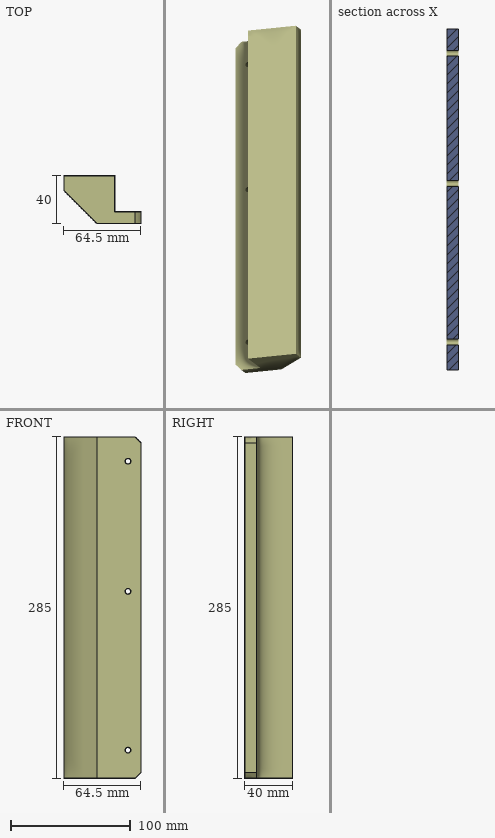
import cadquery as cq

width = 64.5
depth = 40.0
length = 285.0

block_width = 42.5
flange_thickness = 10.0
bevel = 27.5

corner_chamfer = 5.0
hole_diameter = 4.5
hole_edge_distance = 11.0
hole_distances_from_top = (20.3, 128.9, 261.5)


def make_bar():
    """Constant cross-section: a bevelled block with a flange along its front face."""
    outline = [
        (bevel, 0),
        (width, 0),
        (width, flange_thickness),
        (block_width, flange_thickness),
        (block_width, depth),
        (0, depth),
        (0, bevel),
    ]
    return cq.Workplane("XY").polyline(outline).close().extrude(length)


def chamfer_flange_corners(body):
    """Cut the top and bottom corners of the flange's free edge."""
    return body.faces(">X").edges("|Y").chamfer(corner_chamfer)


def drill_flange_holes(body):
    """Drill the row of mounting holes through the flange thickness."""
    hole_x = width - hole_edge_distance
    for distance in hole_distances_from_top:
        hole = (
            cq.Workplane("XZ")
            .center(hole_x, length - distance)
            .circle(hole_diameter / 2)
            .extrude(-flange_thickness)
        )
        body = body.cut(hole)
    return body


result = drill_flange_holes(chamfer_flange_corners(make_bar())).val()